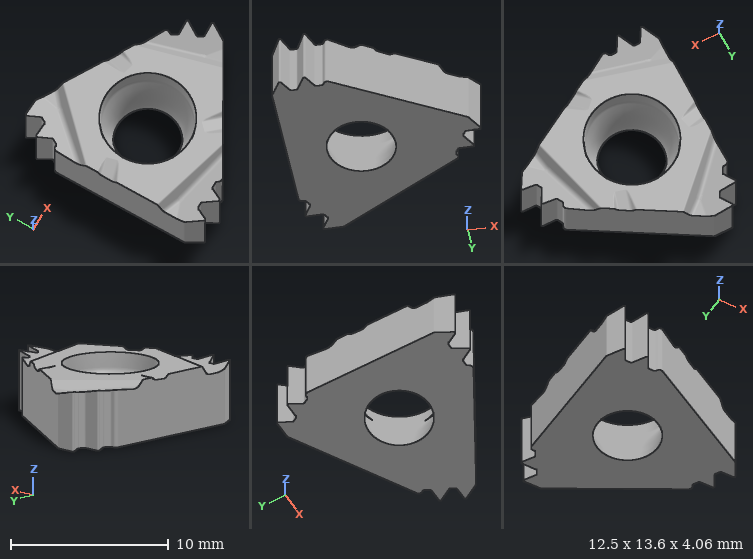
import cadquery as cq
import math

THICKNESS = 4.06
INSCRIBED_RADIUS = 4.76
CORNER_COUNT = 3

REACH = 27.14
WORK_CENTRE_X = -1.36
WORK_HALF_WIDTH = 5.43
RIM_LIMIT = 6.1
FLOOR_NORMAL_LIMIT = -0.9
TOLERANCE = 0.001

FLANK_SLOPE = math.tan(math.radians(60))
TOOTH_PITCH = 1.6
FIRST_FLANK_START_Y = -5.47
FIRST_APEX_X = -4.07
SECOND_APEX_DROP = 0.14
START_RADIUS = 0.2
TIP_TRUNCATION = 0.1
TIP_RADIUS = 0.07
VALLEY_Y = -5.73
VALLEY_RADIUS = 0.14
RELIEF_Y = -5.84
RELIEF_END_X = -1.44
RELIEF_RADIUS = 0.14
NOSE_FLANK_ANGLE = 55.0
NOSE_Y = -6.1
NOSE_RADIUS = 0.2

WALL_DISTANCE = 4.6
WALL_TURN = 15.0
WALL_LEAN = 35.0
WALL_TOP_RADIUS = 0.14
RAKE_ANGLE = 15.0
RAKE_TIP_DEPTH = 0.14
LAND_DEPTH = 0.61
LAND_ANGLE = 5.7
FLOOR_RADIUS = 0.35
LAND_BLEND_RADIUS = 0.37

NOTCH_END = (-3.51, 0.57, 0.0)
NOTCH_TURN = 15.0
NOTCH_FALL = 9.7
NOTCH_FLOOR_WIDTH = 0.64
NOTCH_FLOOR_RADIUS = 0.3
NOTCH_WALL_ANGLE = 40.0
NOTCH_RIM_RADIUS = 0.18
NOTCH_HEIGHT = 0.81
NOTCH_LENGTH = 2.04

BORE_RADIUS = 4.4 / 2
MOUTH_RADIUS = 3.08
MOUTH_BOTTOM_RADIUS = 3.0
MOUTH_DEPTH = 0.99
SEAT_TOP_RADIUS = 2.92
SEAT_TOP_DEPTH = 1.23
SEAT_ANGLE = 34.5


def turned(x, y, angle):
    """The point (x, y) turned about the bore axis."""
    c = math.cos(math.radians(angle))
    s = math.sin(math.radians(angle))
    return (c * x - s * y, s * x + c * y)


def around(solid):
    """One copy of the solid for every corner."""
    step = 360 / CORNER_COUNT
    return [solid.rotate((0, 0, 0), (0, 0, 1), step * i) for i in range(CORNER_COUNT)]


def crest_corners(apex_x, apex_y):
    """Both corners of the narrow crest that blunts a sharp tooth."""
    half_crest = TIP_TRUNCATION / FLANK_SLOPE
    crest_y = apex_y + TIP_TRUNCATION
    return [(apex_x - half_crest, crest_y, TIP_RADIUS), (apex_x + half_crest, crest_y, TIP_RADIUS)]


def corner_points():
    """Sharp corners of the -Y corner as (x, y, rounding radius), from the -X side to the next side."""
    start_x = -INSCRIBED_RADIUS
    first_apex_y = FIRST_FLANK_START_Y - FLANK_SLOPE * (FIRST_APEX_X - start_x)
    second_apex_x = FIRST_APEX_X + TOOTH_PITCH
    second_apex_y = first_apex_y - SECOND_APEX_DROP
    valley_start_x = FIRST_APEX_X + (VALLEY_Y - first_apex_y) / FLANK_SLOPE
    valley_end_x = second_apex_x - (VALLEY_Y - second_apex_y) / FLANK_SLOPE
    relief_start_x = second_apex_x + (RELIEF_Y - second_apex_y) / FLANK_SLOPE
    nose_start_x = RELIEF_END_X + (RELIEF_Y - NOSE_Y) / math.tan(math.radians(NOSE_FLANK_ANGLE))
    side_tilt = math.radians(30)
    nose_end_x = (NOSE_Y + INSCRIBED_RADIUS / math.cos(side_tilt)) / math.tan(side_tilt)
    return [
        (start_x, FIRST_FLANK_START_Y, START_RADIUS),
        *crest_corners(FIRST_APEX_X, first_apex_y),
        (valley_start_x, VALLEY_Y, VALLEY_RADIUS),
        (valley_end_x, VALLEY_Y, VALLEY_RADIUS),
        *crest_corners(second_apex_x, second_apex_y),
        (relief_start_x, RELIEF_Y, RELIEF_RADIUS),
        (RELIEF_END_X, RELIEF_Y, RELIEF_RADIUS),
        (nose_start_x, NOSE_Y, NOSE_RADIUS),
        (nose_end_x, NOSE_Y, NOSE_RADIUS),
    ]


def corner_arc(before, corner, after, radius):
    """Start, middle and end of the arc that rounds a sharp corner."""
    corner = cq.Vector(*corner)
    back = (cq.Vector(*before) - corner).normalized()
    ahead = (cq.Vector(*after) - corner).normalized()
    half_angle = back.getAngle(ahead) / 2
    setback = radius / math.tan(half_angle)
    bisector = (back + ahead).normalized()
    middle = corner + bisector * (radius / math.sin(half_angle) - radius)
    return corner + back * setback, middle, corner + ahead * setback


def blank():
    """Full-height insert with its toothed outline."""
    points = []
    for i in range(CORNER_COUNT):
        for x, y, radius in corner_points():
            points.append((turned(x, y, 360 / CORNER_COUNT * i), radius))
    arcs = []
    for i, (corner, radius) in enumerate(points):
        before = points[i - 1][0]
        after = points[(i + 1) % len(points)][0]
        arcs.append(corner_arc(before, corner, after, radius))
    outline = cq.Workplane("XY").moveTo(*arcs[-1][2].toTuple()[:2])
    for start, middle, end in arcs:
        outline = outline.lineTo(start.x, start.y)
        outline = outline.threePointArc((middle.x, middle.y), (end.x, end.y))
    return outline.close().extrude(-THICKNESS)


def space_above(point, normal):
    """Everything in reach on the side of a plane that its normal points to."""
    plane = cq.Plane(origin=point, normal=normal)
    return cq.Workplane(plane).rect(2 * REACH, 2 * REACH).extrude(REACH).val()


def work_space():
    """The room in which a cutter works, around the -X side and the -Y corner."""
    space = cq.Workplane("XY").rect(2 * WORK_HALF_WIDTH, 2 * REACH).extrude(REACH, both=True)
    return space.translate((WORK_CENTRE_X, 0, 0)).val()


def with_rounded_rim(cutter, radius):
    """The cutter joined to the open space above the top face, with its rim there rounded."""
    joined = space_above((0, 0, 0), (0, 0, 1)).intersect(work_space()).fuse(cutter)

    def on_rim(edge):
        points = (edge.startPoint(), edge.Center(), edge.endPoint())
        return all(abs(p.z) < TOLERANCE for p in points) and edge.Center().Length < RIM_LIMIT

    return joined.fillet(radius, [edge for edge in joined.Edges() if on_rim(edge)])


def chip_breaker():
    """Cutter for the -Y corner: the space above the wall, the rake face and the land."""
    out_x, out_y = turned(0, -1, -WALL_TURN)
    lean = math.radians(WALL_LEAN)
    wall_normal = (out_x * math.cos(lean), out_y * math.cos(lean), math.sin(lean))
    wall_point = (out_x * WALL_DISTANCE, out_y * WALL_DISTANCE, 0)

    rake = math.radians(RAKE_ANGLE)
    rake_normal = (0, math.sin(rake), math.cos(rake))
    tip_y = min(y for _, y, _ in corner_points())
    rake_point = (0, tip_y, -RAKE_TIP_DEPTH)

    land = math.radians(LAND_ANGLE)
    land_normal = (math.sin(land), 0, math.cos(land))
    land_point = (-INSCRIBED_RADIUS, 0, -LAND_DEPTH)

    cutter = space_above(wall_point, wall_normal)
    cutter = cutter.intersect(space_above(rake_point, rake_normal))
    cutter = cutter.intersect(space_above(land_point, land_normal))
    cutter = cutter.intersect(work_space())

    def face_towards(normal):
        """The cutter face that lies on the plane with this normal."""
        return next(f for f in cutter.Faces() if f.normalAt().dot(cq.Vector(*normal)) < TOLERANCE - 1)

    def shared_edges(face, others):
        return [e for e in face.Edges() if any(e.isSame(o) for f in others for o in f.Edges())]

    blend_edges = shared_edges(face_towards(land_normal), [face_towards(rake_normal)])
    cutter = cutter.fillet(LAND_BLEND_RADIUS, blend_edges)
    wall_face = face_towards(wall_normal)
    floor_faces = [f for f in cutter.Faces() if f.normalAt().z < FLOOR_NORMAL_LIMIT]
    cutter = cutter.fillet(FLOOR_RADIUS, shared_edges(wall_face, floor_faces))
    return with_rounded_rim(cutter, WALL_TOP_RADIUS)


def chip_notch():
    """Cutter for the notch in the -X side: a round-bottomed trough falling outwards."""
    fall = math.radians(NOTCH_FALL)
    along_x, along_y = turned(-math.cos(fall), 0, NOTCH_TURN)
    across = turned(0, -1, NOTCH_TURN)
    plane = cq.Plane(origin=NOTCH_END, xDir=(*across, 0), normal=(along_x, along_y, -math.sin(fall)))
    wall = math.radians(NOTCH_WALL_ANGLE)
    half_floor = NOTCH_FLOOR_WIDTH / 2

    def on_floor_arc(angle):
        return (
            half_floor + NOTCH_FLOOR_RADIUS * math.sin(angle),
            NOTCH_FLOOR_RADIUS * (1 - math.cos(angle)),
        )

    def mirrored(point):
        return (-point[0], point[1])

    arc_middle = on_floor_arc(wall / 2)
    arc_end = on_floor_arc(wall)
    top = (arc_end[0] + NOTCH_HEIGHT / math.tan(wall), arc_end[1] + NOTCH_HEIGHT)
    trough = (
        cq.Workplane(plane)
        .moveTo(-half_floor, 0)
        .lineTo(half_floor, 0)
        .threePointArc(arc_middle, arc_end)
        .lineTo(*top)
        .lineTo(*mirrored(top))
        .lineTo(*mirrored(arc_end))
        .threePointArc(mirrored(arc_middle), (-half_floor, 0))
        .close()
    )
    return with_rounded_rim(trough.extrude(NOTCH_LENGTH).val(), NOTCH_RIM_RADIUS)


def bore():
    """Cutter for the screw hole: slightly tapered mouth, bulging seat and straight bore."""
    seat_angle = math.radians(SEAT_ANGLE)
    seat_bulge = (SEAT_TOP_RADIUS - BORE_RADIUS) / (1 - math.cos(seat_angle))
    seat_bottom = -SEAT_TOP_DEPTH - seat_bulge * math.sin(seat_angle)
    seat_middle = (
        BORE_RADIUS + seat_bulge * (1 - math.cos(seat_angle / 2)),
        seat_bottom + seat_bulge * math.sin(seat_angle / 2),
    )
    profile = (
        cq.Workplane("XZ")
        .lineTo(MOUTH_RADIUS, 0)
        .lineTo(MOUTH_BOTTOM_RADIUS, -MOUTH_DEPTH)
        .tangentArcPoint((SEAT_TOP_RADIUS, -SEAT_TOP_DEPTH), relative=False)
        .threePointArc(seat_middle, (BORE_RADIUS, seat_bottom))
        .lineTo(BORE_RADIUS, -THICKNESS)
        .lineTo(0, -THICKNESS)
        .close()
    )
    return profile.revolve(360, (0, 0), (0, 1))


body = blank()
for cutter in around(chip_breaker()) + around(chip_notch()):
    body = body.cut(cutter)
result = body.cut(bore())